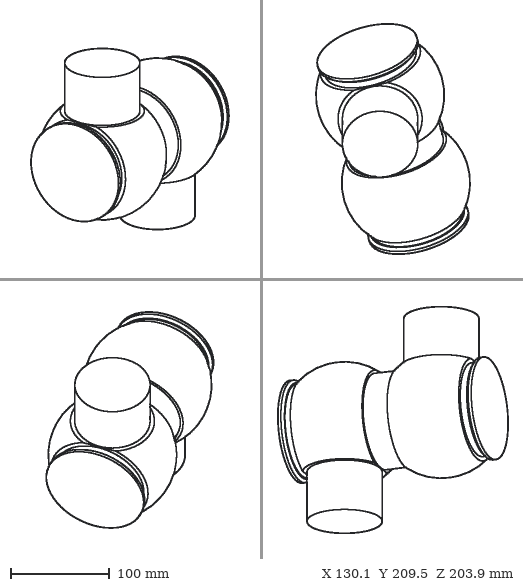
import cadquery as cq

total_length = 209.5
port_end_height = 101.95
ball_offset = total_length / 4

ball_radius = 65.07
ball_half_width = 38.8

port_radius = 38.1
port_flat_height = 49.2

connector_radius = 49.2
neck_radius = 47.8
flange_radius = 52.4
flange_rim = 3.4
flange_bevel_length = 2.7
flange_bevel_base_radius = 49.2

half_length = total_length / 2
ball_inner_face = ball_offset - ball_half_width
ball_outer_face = ball_offset + ball_half_width
ball_face_radius = (ball_radius**2 - ball_half_width**2) ** 0.5


def make_half_body():
    """Half connector, ball, neck and end flange turned about the +Y axis."""
    rim_start = half_length - flange_rim
    bevel_start = rim_start - flange_bevel_length
    profile = (
        cq.Workplane("XY")
        .lineTo(connector_radius, 0)
        .lineTo(connector_radius, ball_inner_face)
        .lineTo(ball_face_radius, ball_inner_face)
        .threePointArc((ball_radius, ball_offset), (ball_face_radius, ball_outer_face))
        .lineTo(neck_radius, ball_outer_face)
        .lineTo(neck_radius, bevel_start)
        .lineTo(flange_bevel_base_radius, bevel_start)
        .lineTo(flange_radius, rim_start)
        .lineTo(flange_radius, half_length)
        .lineTo(0, half_length)
        .close()
    )
    return profile.revolve(360, (0, 0, 0), (0, 1, 0))


def make_port_flat_cutter():
    """Block that flattens the -Z side of the ball in the +Y half."""
    depth = ball_radius - port_flat_height
    center_height = -port_flat_height - depth / 2
    return cq.Workplane("XY", origin=(0, ball_offset, center_height)).box(
        2 * ball_radius, 2 * ball_half_width, depth
    )


def make_port():
    """Port of the +Y half, reaching from the ball centre down along -Z."""
    return cq.Workplane("XY", origin=(0, ball_offset, 0)).circle(port_radius).extrude(-port_end_height)


half = make_half_body().cut(make_port_flat_cutter()).union(make_port())
result = half.union(half.rotate((0, 0, 0), (1, 0, 0), 180))